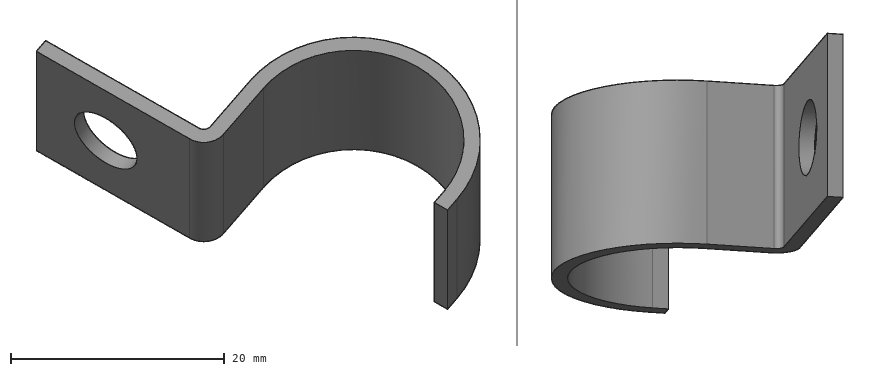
import cadquery as cq

length = 41.99
depth = 20.57
width = 15.88
thickness = 1.524
saddle_radius = 11.843
lip_length = 1.56
bend_inner_radius = 0.762
hole_diameter = 7.144
hole_from_end = 7.938

inner_radius = saddle_radius - thickness
bend_outer_radius = bend_inner_radius + thickness
foot_end = saddle_radius - length
foot_bottom = saddle_radius - depth
foot_top = foot_bottom + thickness
bend_x = -saddle_radius - bend_inner_radius
bend_y = foot_top + bend_inner_radius


def make_strap():
    """Bent strap: flat foot, bend, straight leg, half-round saddle and short lip."""
    return (
        cq.Workplane("XY")
        .workplane(offset=-width / 2)
        .moveTo(foot_end, foot_bottom)
        .lineTo(bend_x, foot_bottom)
        .radiusArc((-inner_radius, bend_y), -bend_outer_radius)
        .lineTo(-inner_radius, 0)
        .threePointArc((0, inner_radius), (inner_radius, 0))
        .lineTo(inner_radius, -lip_length)
        .lineTo(saddle_radius, -lip_length)
        .lineTo(saddle_radius, 0)
        .threePointArc((0, saddle_radius), (-saddle_radius, 0))
        .lineTo(-saddle_radius, bend_y)
        .radiusArc((bend_x, foot_top), bend_inner_radius)
        .lineTo(foot_end, foot_top)
        .close()
        .extrude(width)
    )


def make_hole_cutter():
    """Cylinder through the foot, along Y, at mid width."""
    return (
        cq.Workplane("XZ", origin=(foot_end + hole_from_end, foot_top, 0))
        .circle(hole_diameter / 2)
        .extrude(thickness)
    )


result = make_strap().cut(make_hole_cutter())